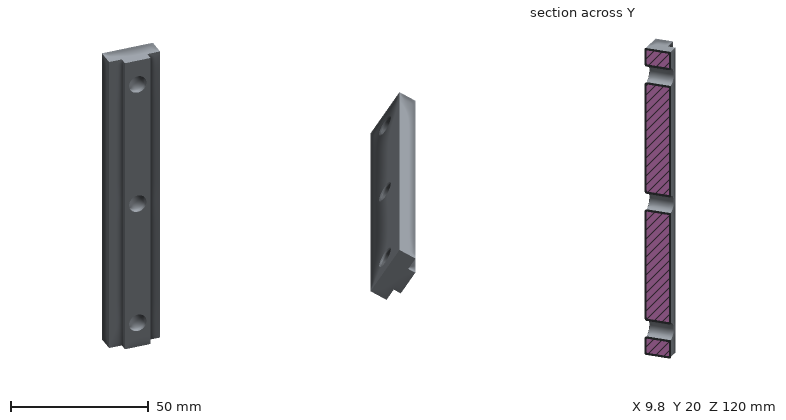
import cadquery as cq
import math

length = 120.0
base_width = 20.0
base_thickness = 6.8

rib_width = 10.0
rib_height = 3.0

hole_count = 3
hole_pitch = 50.0
hole_diameter = 6.8
countersink_diameter = 8.0
countersink_angle = 120.0

total_thickness = base_thickness + rib_height
countersink_radial_step = (countersink_diameter - hole_diameter) / 2
countersink_depth = countersink_radial_step / math.tan(math.radians(countersink_angle / 2))


def make_rail():
    """T-shaped bar, centred in Y and Z, with its wide face at X = 0."""
    base = cq.Workplane("XY").box(base_thickness, base_width, length, centered=(False, True, True))
    rib = cq.Workplane("XY").box(total_thickness, rib_width, length, centered=(False, True, True))
    return base.union(rib)


def make_hole_cutter(z):
    """Through hole along X at height z, countersunk at the wide face."""
    face = cq.Workplane("YZ").center(0, z)
    bore = face.circle(hole_diameter / 2).extrude(total_thickness)
    countersink = cq.Solid.makeCone(
        countersink_diameter / 2,
        hole_diameter / 2,
        countersink_depth,
        pnt=cq.Vector(0, 0, z),
        dir=cq.Vector(1, 0, 0),
    )
    return bore.union(cq.Workplane(obj=countersink))


result = make_rail()
first_hole_z = -hole_pitch * (hole_count - 1) / 2
for index in range(hole_count):
    result = result.cut(make_hole_cutter(first_hole_z + index * hole_pitch))